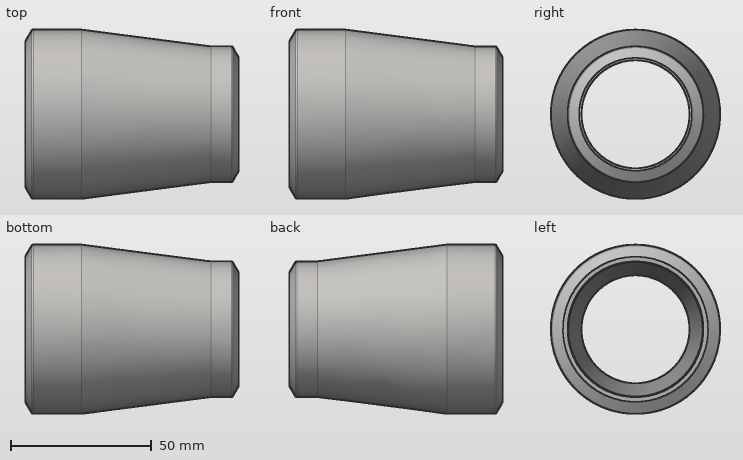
import cadquery as cq
import math

length = 76.0
large_diameter = 60.3
small_diameter = 48.3
mouth_diameter = 48.3
mouth_depth = 0.5
large_bore_diameter = 47.7
small_bore_diameter = 38.3

cone_start = 20.0
cone_end = 66.0
bore_cone_start = 11.85

bevel_angle = math.radians(30)
large_bevel_drop = 4.3
small_bevel_drop = 4.1
blend_radius = 0.75

large_radius = large_diameter / 2
small_radius = small_diameter / 2
large_bevel_length = large_bevel_drop * math.tan(bevel_angle)
small_bevel_length = small_bevel_drop * math.tan(bevel_angle)


def make_outer_body():
    """Solid body of revolution with a bevel at each end."""
    profile = [
        (0, 0),
        (0, large_radius - large_bevel_drop),
        (large_bevel_length, large_radius),
        (cone_start, large_radius),
        (cone_end, small_radius),
        (length - small_bevel_length, small_radius),
        (length, small_radius - small_bevel_drop),
        (length, 0),
    ]
    return cq.Workplane("XZ").polyline(profile).close().revolve(360, (0, 0, 0), (1, 0, 0))


def blend_bevel_corner(body, corner_x):
    """Round the circular edge where a bevel meets the outside cylinder."""
    margin = blend_radius / 2
    corner = cq.selectors.BoxSelector(
        (corner_x - margin, -length, -length),
        (corner_x + margin, length, length),
    )
    return body.edges("%CIRCLE").edges(corner).fillet(blend_radius)


def make_bore():
    """Passage with a flared mouth, a straight large bore, a cone and a small bore."""
    profile = [
        (0, 0),
        (0, mouth_diameter / 2),
        (mouth_depth, large_bore_diameter / 2),
        (bore_cone_start, large_bore_diameter / 2),
        (cone_end, small_bore_diameter / 2),
        (length, small_bore_diameter / 2),
        (length, 0),
    ]
    return cq.Workplane("XZ").polyline(profile).close().revolve(360, (0, 0, 0), (1, 0, 0))


body = make_outer_body()
body = blend_bevel_corner(body, large_bevel_length)
body = blend_bevel_corner(body, length - small_bevel_length)
result = body.cut(make_bore())